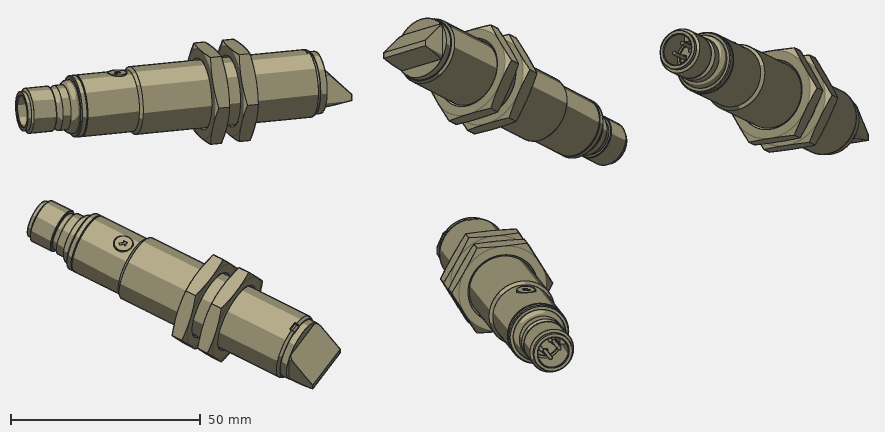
import cadquery as cq
import math

total_length = 89.4

sleeve_dia = 18.0
sleeve_rear_y = 30.75
sleeve_front_y = 80.2
front_chamfer_length = 0.8
front_chamfer_depth = 0.45
rear_chamfer = 0.8

notch_width = 2.5
notch_length = 1.3
notch_depth = 0.7

disc_dia = 16.5
disc_front_y = 82.1
prism_width = 13.9
prism_height = 10.55
prism_corner_radius = 1.3
prism_tip_bottom_z = -3.7
prism_root_bottom_z = -4.9

rear_dia = 16.4
rear_end_y = 13.9
rear_chamfer_dia = 15.8
parting_groove_y = 15.4
parting_groove_width = 0.3
parting_groove_depth = 0.1

collar_dia = 14.2
collar_straight_end_y = 13.5
collar_end_y = 11.7
plug_dia = 12.0
plug_neck_dia = 10.5
neck_rear_y = 7.8
neck_straight_end_y = 8.0
neck_front_y = 9.5
tip_shoulder_y = 1.4
tip_chamfer_angle = 30.0
thread_chamfer = 0.2

socket_dia = 8.3
socket_mouth_dia = 8.8
socket_floor_dia = 7.1
socket_depth = 7.7
socket_step = 0.45
key_corner = 2.0
key_front_y = 0.45

pin_dia = 1.0
pin_circle_dia = 4.8
pin_tip_y = 2.15
pin_recess_dia = 1.5
pin_recess_depth = 0.45
pin_count = 4

adjuster_y = 26.55
adjuster_dia = 4.8
adjuster_hole_dia = 5.2
adjuster_top_z = 8.1
adjuster_depth = 1.8
arrow_length = 2.15
arrow_shaft_width = 0.6
arrow_head_length = 0.9
arrow_head_width = 1.8
arrow_depth = 0.1
arrow_angle = 135.0

nut_across_flats = 24.0
nut_sides = 6
nut_thickness = 4.0
nut_rear_ys = (49.6, 57.6)
nut_chamfer_angle = 15.0
nut_bore_chamfer = 0.5


def cylinder_y(diameter, start_y, end_y):
    """Solid cylinder on the sensor axis between two Y positions."""
    return cq.Workplane("XZ", origin=(0, start_y, 0)).circle(diameter / 2).extrude(start_y - end_y)


def ring_y(outer_dia, inner_dia, start_y, end_y):
    """Tube on the sensor axis between two Y positions."""
    return cylinder_y(outer_dia, start_y, end_y).cut(cylinder_y(inner_dia, start_y, end_y))


def turned_housing():
    """Outer profile of the housing, radius against Y, turned about the Y axis."""
    tip_chamfer = (plug_dia - plug_neck_dia) / 2 * math.tan(math.radians(tip_chamfer_angle))
    rear_edge = (rear_dia - rear_chamfer_dia) / 2
    shoulder_height = (collar_dia - plug_dia) / 2
    shoulder_length = collar_straight_end_y - collar_end_y
    arc_share = math.sqrt(0.5)
    sleeve_r = sleeve_dia / 2
    return (
        cq.Workplane("XY")
        .moveTo(0, 0)
        .lineTo(plug_neck_dia / 2, 0)
        .lineTo(plug_neck_dia / 2, tip_shoulder_y - tip_chamfer)
        .lineTo(plug_dia / 2, tip_shoulder_y)
        .lineTo(plug_dia / 2, neck_rear_y - thread_chamfer)
        .lineTo(plug_dia / 2 - thread_chamfer, neck_rear_y)
        .lineTo(plug_neck_dia / 2, neck_rear_y)
        .lineTo(plug_neck_dia / 2, neck_straight_end_y)
        .tangentArcPoint((plug_dia / 2, neck_front_y), relative=False)
        .lineTo(plug_dia / 2, collar_end_y)
        .threePointArc(
            (
                plug_dia / 2 + shoulder_height * arc_share,
                collar_straight_end_y - shoulder_length * arc_share,
            ),
            (collar_dia / 2, collar_straight_end_y),
        )
        .lineTo(collar_dia / 2, rear_end_y)
        .lineTo(rear_chamfer_dia / 2, rear_end_y)
        .lineTo(rear_dia / 2, rear_end_y + rear_edge)
        .lineTo(rear_dia / 2, sleeve_rear_y - rear_chamfer)
        .lineTo(sleeve_r, sleeve_rear_y)
        .lineTo(sleeve_r, sleeve_front_y - front_chamfer_length)
        .lineTo(sleeve_r - front_chamfer_depth, sleeve_front_y)
        .lineTo(disc_dia / 2, sleeve_front_y)
        .lineTo(disc_dia / 2, disc_front_y)
        .lineTo(0, disc_front_y)
        .close()
        .revolve(360, (0, 0, 0), (0, 1, 0))
    )


def prism():
    """Rounded bar on the front disc, cut to a 45 degree wedge with a gently sloping underside."""
    bar = (
        cq.Workplane("XZ", origin=(0, disc_front_y, 0))
        .rect(prism_width, prism_height)
        .extrude(disc_front_y - total_length)
        .edges("|Y")
        .fillet(prism_corner_radius)
    )
    prism_length = total_length - disc_front_y
    wedge = (
        cq.Workplane("YZ")
        .polyline(
            [
                (disc_front_y, prism_root_bottom_z),
                (total_length, prism_tip_bottom_z),
                (total_length, prism_height / 2 - prism_length),
                (disc_front_y, prism_height / 2),
            ]
        )
        .close()
        .extrude(prism_width, both=True)
    )
    return bar.intersect(wedge)


def rim_notch():
    """Notch cutter whose floor follows the chamfered rim at a constant depth."""
    outer_r = sleeve_dia / 2
    rear_y = sleeve_front_y - notch_length
    chamfer_rear_y = sleeve_front_y - front_chamfer_length
    shell = (
        cq.Workplane("XY")
        .polyline(
            [
                (outer_r, rear_y),
                (outer_r - notch_depth, rear_y),
                (outer_r - notch_depth, chamfer_rear_y),
                (outer_r - notch_depth - front_chamfer_depth, sleeve_front_y),
                (outer_r, sleeve_front_y),
            ]
        )
        .close()
        .revolve(360, (0, 0, 0), (0, 1, 0))
    )
    window = cq.Workplane("XY").rect(notch_width, 2 * total_length).extrude(sleeve_dia)
    return shell.intersect(window)


def socket():
    """Cutter for the plug socket: chamfered mouth, bore and a small step at the floor."""
    mouth_chamfer = (socket_mouth_dia - socket_dia) / 2
    return (
        cq.Workplane("XY")
        .moveTo(0, 0)
        .lineTo(socket_mouth_dia / 2, 0)
        .lineTo(socket_dia / 2, mouth_chamfer)
        .lineTo(socket_dia / 2, socket_depth - socket_step)
        .lineTo(socket_floor_dia / 2, socket_depth - socket_step)
        .lineTo(socket_floor_dia / 2, socket_depth)
        .lineTo(0, socket_depth)
        .close()
        .revolve(360, (0, 0, 0), (0, 1, 0))
    )


def socket_key():
    """Coding key along the socket wall, its square corner pointing at the axis."""
    key_size = socket_dia / 2
    block = cq.Workplane("XY").box(key_size, socket_depth - key_front_y, key_size, centered=False)
    return block.translate((key_corner, key_front_y, key_corner)).intersect(
        cylinder_y(socket_dia, 0, socket_depth)
    )


def pin_cylinders(diameter, start_y, end_y):
    """One cylinder at each pin position, between two Y positions."""
    return (
        cq.Workplane("XZ", origin=(0, start_y, 0))
        .polarArray(pin_circle_dia / 2, 0, 360, pin_count)
        .circle(diameter / 2)
        .extrude(start_y - end_y)
    )


def contact_pins():
    """Contact pins with round tips, each standing in its recess in the socket floor."""
    tip_r = pin_dia / 2
    tips = (
        cq.Workplane("XZ", origin=(0, pin_tip_y + tip_r, 0))
        .polarArray(pin_circle_dia / 2, 0, 360, pin_count)
        .sphere(tip_r)
    )
    return pin_cylinders(pin_dia, socket_depth + pin_recess_depth, pin_tip_y + tip_r).union(tips)


def make_housing():
    parting_groove = ring_y(
        sleeve_dia,
        rear_dia - 2 * parting_groove_depth,
        parting_groove_y,
        parting_groove_y + parting_groove_width,
    )
    adjuster_hole = (
        cq.Workplane("XY", origin=(0, adjuster_y, adjuster_top_z - adjuster_depth))
        .circle(adjuster_hole_dia / 2)
        .extrude(sleeve_dia / 2)
    )
    return (
        turned_housing()
        .union(prism())
        .cut(rim_notch())
        .cut(parting_groove)
        .cut(socket())
        .cut(pin_cylinders(pin_recess_dia, socket_depth + pin_recess_depth, socket_depth))
        .union(socket_key())
        .union(contact_pins())
        .cut(adjuster_hole)
    )


def make_adjuster():
    """Flat round adjuster with an arrow sunk into its top."""
    disc = (
        cq.Workplane("XY", origin=(0, adjuster_y, adjuster_top_z - adjuster_depth))
        .circle(adjuster_dia / 2)
        .extrude(adjuster_depth)
    )
    tip = arrow_length / 2
    neck = tip - arrow_head_length
    arrow = (
        cq.Workplane("XY")
        .polyline(
            [
                (tip, 0),
                (neck, arrow_head_width / 2),
                (neck, arrow_shaft_width / 2),
                (-tip, arrow_shaft_width / 2),
                (-tip, -arrow_shaft_width / 2),
                (neck, -arrow_shaft_width / 2),
                (neck, -arrow_head_width / 2),
            ]
        )
        .close()
        .extrude(arrow_depth)
        .rotate((0, 0, 0), (0, 0, 1), arrow_angle)
        .translate((0, adjuster_y, adjuster_top_z - arrow_depth))
    )
    return disc.cut(arrow)


def make_nut(rear_y):
    """Hexagon nut with corners on the X axis, chamfered corners and a chamfered bore."""
    corner_dia = nut_across_flats / math.cos(math.pi / nut_sides)
    flat_r = nut_across_flats / 2
    corner_drop = (corner_dia / 2 - flat_r) * math.tan(math.radians(nut_chamfer_angle))
    front_y = rear_y + nut_thickness
    bore_r = sleeve_dia / 2
    hexagon = (
        cq.Workplane("XZ", origin=(0, rear_y, 0))
        .polygon(nut_sides, corner_dia)
        .extrude(-nut_thickness)
    )
    turned_blank = (
        cq.Workplane("XY")
        .polyline(
            [
                (bore_r, rear_y + nut_bore_chamfer),
                (bore_r + nut_bore_chamfer, rear_y),
                (flat_r, rear_y),
                (corner_dia / 2, rear_y + corner_drop),
                (corner_dia / 2, front_y - corner_drop),
                (flat_r, front_y),
                (bore_r + nut_bore_chamfer, front_y),
                (bore_r, front_y - nut_bore_chamfer),
            ]
        )
        .close()
        .revolve(360, (0, 0, 0), (0, 1, 0))
    )
    return hexagon.intersect(turned_blank)


housing = make_housing()
adjuster = make_adjuster()
nuts = [make_nut(rear_y) for rear_y in nut_rear_ys]

result = cq.Compound.makeCompound([housing.val(), adjuster.val(), *[nut.val() for nut in nuts]])